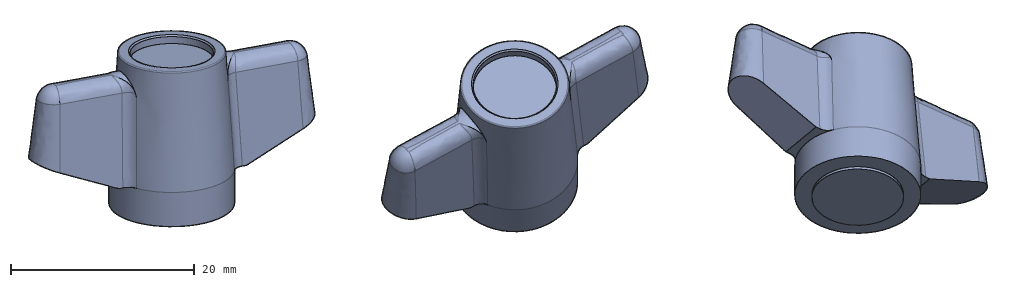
import cadquery as cq
import math

span = 34.0
height = 18.2

foot_diameter = 10.0
foot_height = 0.35
collar_diameter = 13.75
collar_top = 4.4
body_top_diameter = 11.8
rim_round = 0.15

recess_diameter = 9.08
recess_depth = 1.0
recess_lip = 0.17

crest_z = 16.75
crest_half_width = 1.65
crest_round = 1.77
side_draft = 5.1
tip_draft = 7.3
tip_bottom_z = 8.35
underside_flat_end = 7.72
root_round = 1.5
root_cap_half_width = 2.48
root_cap_edge_z = 15.23


def wing_half_width(z):
    return crest_half_width + (crest_z - z) * math.tan(math.radians(side_draft))


def wing_reach(z):
    return span / 2 + (tip_bottom_z - z) * math.tan(math.radians(tip_draft))


def wing_section(z):
    """Outline of one wing at height z: straight sides from the hub axis and a round tip."""
    half_width = wing_half_width(z)
    reach = wing_reach(z)
    tip_center = reach - half_width
    outline = (
        cq.Workplane("XY", origin=(0, 0, z))
        .moveTo(-half_width, 0)
        .lineTo(half_width, 0)
        .lineTo(half_width, tip_center)
        .threePointArc((0, reach), (-half_width, tip_center))
        .close()
    )
    return outline.val()


def make_wing():
    """One wing along +Y, with its underside rising from the collar to the tip."""
    sections = [wing_section(collar_top), wing_section(crest_z)]
    blank = cq.Workplane(cq.Solid.makeLoft(sections, True))
    rounded = blank.faces(">Z").edges("not(<Y)").fillet(crest_round)

    rise = (tip_bottom_z - collar_top) / (span / 2 - underside_flat_end)
    wedge_end = span
    wedge_top = collar_top + rise * (wedge_end - underside_flat_end)
    wedge = (
        cq.Workplane("YZ")
        .moveTo(underside_flat_end, collar_top)
        .lineTo(wedge_end, wedge_top)
        .lineTo(wedge_end, collar_top)
        .close()
        .extrude(collar_diameter / 2, both=True)
    )
    return rounded.cut(wedge)


def cylinder(diameter, bottom, top):
    return cq.Workplane("XY", origin=(0, 0, bottom)).circle(diameter / 2).extrude(top - bottom)


def cone(bottom_diameter, top_diameter, bottom, top):
    solid = cq.Solid.makeCone(
        bottom_diameter / 2, top_diameter / 2, top - bottom, pnt=cq.Vector(0, 0, bottom)
    )
    return cq.Workplane(solid)


def make_root_cap():
    """Arched envelope along Y that holds the root blends down to the wing crest."""
    return (
        cq.Workplane("XZ")
        .moveTo(-collar_diameter / 2, collar_top)
        .lineTo(-root_cap_half_width, root_cap_edge_z)
        .threePointArc((0, crest_z), (root_cap_half_width, root_cap_edge_z))
        .lineTo(collar_diameter / 2, collar_top)
        .close()
        .extrude(span, both=True)
    )


core = cone(collar_diameter, body_top_diameter, collar_top, height)
wing = make_wing()
winged_core = core.union(wing).union(wing.rotate((0, 0, 0), (0, 0, 1), 180))

root_zone = cq.selectors.BoxSelector(
    (-collar_diameter / 4, -collar_diameter / 2, collar_top + rim_round),
    (collar_diameter / 4, collar_diameter / 2, height - rim_round),
)
root_edges = winged_core.edges(root_zone).edges("not #Z")

body = root_edges.fillet(root_round).intersect(make_root_cap()).union(core)
body = body.faces(">Z").edges().fillet(rim_round)

collar = cylinder(collar_diameter, foot_height, collar_top)
foot = cylinder(foot_diameter, 0, foot_height)
recess = cylinder(recess_diameter, height - recess_depth, height)
lip = cone(recess_diameter, recess_diameter + 2 * recess_lip, height - recess_lip, height)

result = body.union(collar).union(foot).cut(recess).cut(lip)